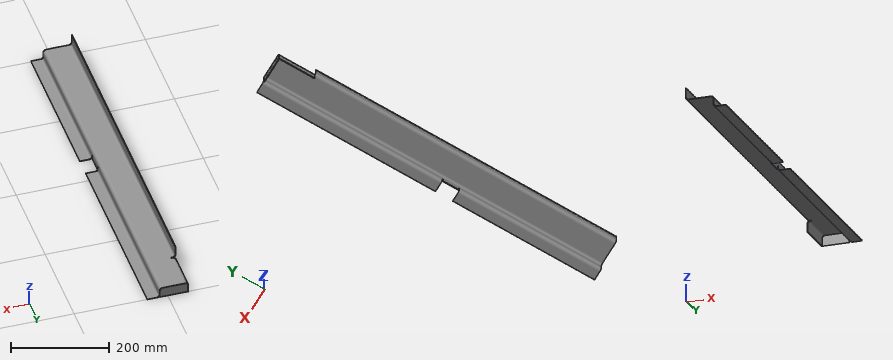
import cadquery as cq

LENGTH = 802.5
WIDTH = 88.0
HEIGHT = 50.0

SHEET = 2.0
INNER_RADIUS = 5.2
OUTER_RADIUS = INNER_RADIUS + SHEET
RELIEF_WIDTH = 2.0
RELIEF_MARGIN = 2.8

WEB_TOP = 25.0
WEB_BOTTOM = WEB_TOP - SHEET
WALL_OUTER = 62.5
WALL_INNER = WALL_OUTER - SHEET

UPRIGHT_END = 715.0
SIDE_WALL_START = UPRIGHT_END + RELIEF_WIDTH
NOTCH_START = 337.0
NOTCH_END = 378.0
TAB_BOTTOM = 2.5

END_PLATE_THICKNESS = SHEET


def box(x0, x1, y0, y1, z0, z1):
    """Box between two corners."""
    return cq.Workplane("XY").box(x1 - x0, y1 - y0, z1 - z0, centered=False).translate((x0, y0, z0))


def extrude_along_y(profile, y0, y1):
    """Extrude an outline drawn on the XZ plane from y0 to y1."""
    return profile.extrude(-(y1 - y0)).translate((0, y0, 0))


def web_and_right_flange():
    """Z-shaped strip: flat web, right wall and bottom flange, over the full length."""
    top_center = (WALL_OUTER - OUTER_RADIUS, WEB_TOP - OUTER_RADIUS)
    foot_center = (WALL_INNER + OUTER_RADIUS, OUTER_RADIUS)
    profile = (
        cq.Workplane("XZ")
        .moveTo(OUTER_RADIUS, WEB_TOP)
        .lineTo(top_center[0], WEB_TOP)
        .radiusArc((WALL_OUTER, top_center[1]), OUTER_RADIUS)
        .lineTo(WALL_OUTER, foot_center[1])
        .radiusArc((foot_center[0], SHEET), -INNER_RADIUS)
        .lineTo(WIDTH, SHEET)
        .lineTo(WIDTH, 0)
        .lineTo(foot_center[0], 0)
        .radiusArc((WALL_INNER, foot_center[1]), OUTER_RADIUS)
        .lineTo(WALL_INNER, top_center[1])
        .radiusArc((top_center[0], WEB_BOTTOM), -INNER_RADIUS)
        .lineTo(OUTER_RADIUS, WEB_BOTTOM)
        .close()
    )
    return extrude_along_y(profile, 0, LENGTH)


def upright():
    """Left edge bent up, along the front part of the web."""
    tangent_z = WEB_BOTTOM + OUTER_RADIUS
    profile = (
        cq.Workplane("XZ")
        .moveTo(OUTER_RADIUS, WEB_BOTTOM)
        .radiusArc((0, tangent_z), OUTER_RADIUS)
        .lineTo(0, HEIGHT)
        .lineTo(SHEET, HEIGHT)
        .lineTo(SHEET, tangent_z)
        .radiusArc((OUTER_RADIUS, WEB_TOP), -INNER_RADIUS)
        .close()
    )
    return extrude_along_y(profile, 0, UPRIGHT_END)


def side_wall():
    """Left edge bent down, along the back part of the web."""
    tangent_z = WEB_TOP - OUTER_RADIUS
    profile = (
        cq.Workplane("XZ")
        .moveTo(OUTER_RADIUS, WEB_TOP)
        .radiusArc((0, tangent_z), -OUTER_RADIUS)
        .lineTo(0, 0)
        .lineTo(SHEET, 0)
        .lineTo(SHEET, tangent_z)
        .radiusArc((OUTER_RADIUS, WEB_BOTTOM), INNER_RADIUS)
        .close()
    )
    return extrude_along_y(profile, SIDE_WALL_START, LENGTH)


def flange_notch():
    """Gap in the bottom flange, reaching up into the wall as a bend relief."""
    return box(WALL_INNER, WIDTH, NOTCH_START, NOTCH_END, 0, OUTER_RADIUS + RELIEF_MARGIN)


def wall_tab():
    """Straight tongue of the wall inside the notch, with a slit on each side."""
    return box(
        WALL_INNER, WALL_OUTER,
        NOTCH_START + RELIEF_WIDTH, NOTCH_END - RELIEF_WIDTH,
        TAB_BOTTOM, OUTER_RADIUS + RELIEF_MARGIN,
    )


def web_relief():
    """Slit in the web between the upright and the side wall."""
    return box(0, OUTER_RADIUS + RELIEF_MARGIN, UPRIGHT_END, SIDE_WALL_START, WEB_BOTTOM, WEB_TOP)


def make_rail():
    rail = web_and_right_flange().union(upright()).union(side_wall())
    return rail.cut(flange_notch()).union(wall_tab()).cut(web_relief())


def make_end_plate():
    """Plate that closes the back end, fitted inside the bent walls."""
    plate = box(SHEET, WALL_INNER, LENGTH - END_PLATE_THICKNESS, LENGTH, 0, WEB_BOTTOM)
    return plate.edges("|Y and >Z").fillet(INNER_RADIUS)


rail = make_rail()
end_plate = make_end_plate()
result = cq.Compound.makeCompound([rail.val(), end_plate.val()])